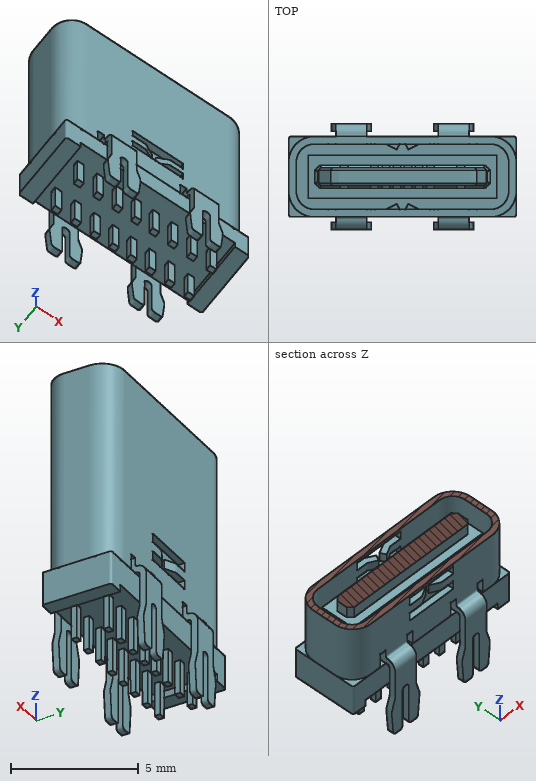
import cadquery as cq
import math


shell_length = 8.94
shell_width = 3.16
shell_top = 12.5
sheet = 0.3
shell_corner_radius = 1.0
outer_face = shell_width / 2
inner_face = outer_face - sheet

base_top = 3.51
base_bottom = 2.0
base_corner_radius = 0.1
recess_length = 7.52
recess_depth = 0.31
recess_top = base_bottom + recess_depth

leg_x = 2.006
leg_width = 1.21
leg_outer_face = 2.081
leg_bend_radius = 0.12
leg_root_fillet = 0.1
leg_bulge_width = 1.58
leg_bulge_start = 1.91
leg_bulge_top = 1.31
leg_bulge_bottom = 1.1
leg_tip_width = 1.4
leg_tip_fillet = 0.15
prong_gap = 0.35
prong_gap_top = 2.21
relief_width = 0.31
relief_top = 4.21

window_length = 2.48
window_height = 0.4
finger_z = 5.5
finger_height = 0.42
finger_bend_x = 0.66
finger_bend_radius = 0.06
finger_angle = math.radians(27)
finger_tip_x = 0.22

block_length = 7.4
block_width = 1.69
block_top = finger_z + finger_height / 2
root_length = 6.88
root_width = 0.91
root_corner_chamfer = 0.2
root_top = 7.5
root_slope = 0.106
tongue_length = 6.58
tongue_width = root_width - 2 * root_slope
tongue_top = 11.1
tongue_edge_chamfer = 0.09
tongue_corner_chamfer = 0.08

left_steep_end_x = 2.82
left_tip_x = 2.49
right_steep_end_x = 2.91
right_tip_x = 2.66
shallow_slope = 0.25
steep_slope = 1.7

pad_width = 0.3
pad_positions = (0.21, 0.65, 1.1, 2.29)
pin_positions = (0.44, 1.35, 2.29, 3.24)
pin_row_y = 0.74
pin_width = 0.31
pin_thickness = 0.25
pin_bottom = 0.79


def box(length, width, bottom, top, x=0.0, y=0.0):
    """Upright box centred on (x, y)."""
    plane = cq.Workplane("XY", origin=(x, y, bottom))
    return plane.box(length, width, top - bottom, centered=(True, True, False))


def on_all_sides(shape):
    """A shape with its mirror images in X and Y."""
    pair = shape.union(shape.mirror("YZ"))
    return pair.union(pair.mirror("XZ"))


def make_tube():
    outer = box(shell_length, shell_width, base_top, shell_top).edges("|Z").fillet(shell_corner_radius)
    bore = box(shell_length - 2 * sheet, shell_width - 2 * sheet, base_top, shell_top)
    return outer.cut(bore.edges("|Z").fillet(shell_corner_radius - sheet))


def make_openings():
    """Windows above and below the fingers, the gap around the fingers, and the leg reliefs."""
    across = shell_width
    low = finger_z - finger_height / 2
    high = finger_z + finger_height / 2
    openings = box(window_length, across, low - window_height, low)
    openings = openings.union(box(window_length, across, high, high + window_height))
    openings = openings.union(box(2 * finger_bend_x, across, low, high))
    relief_offset = (leg_width + relief_width) / 2
    for x in (leg_x - relief_offset, leg_x + relief_offset):
        relief = box(relief_width, across, base_top, relief_top, x)
        openings = openings.union(relief).union(relief.mirror("YZ"))
    return openings


def make_finger():
    """Strip of the wall at -X, -Y, bent inward about a vertical axis."""
    centre_x = -finger_bend_x
    centre_y = -inner_face + finger_bend_radius
    outer_radius = finger_bend_radius + sheet
    straight = (
        finger_bend_x - finger_tip_x - finger_bend_radius * math.sin(finger_angle)
    ) / math.cos(finger_angle)

    def around_bend(radius, angle, along=0.0):
        x = centre_x + radius * math.sin(angle) + along * math.cos(angle)
        y = centre_y - radius * math.cos(angle) + along * math.sin(angle)
        return x, y

    half = finger_angle / 2
    return (
        cq.Workplane("XY", origin=(0, 0, finger_z - finger_height / 2))
        .moveTo(*around_bend(outer_radius, 0))
        .threePointArc(around_bend(outer_radius, half), around_bend(outer_radius, finger_angle))
        .lineTo(*around_bend(outer_radius, finger_angle, straight))
        .lineTo(*around_bend(finger_bend_radius, finger_angle, straight))
        .lineTo(*around_bend(finger_bend_radius, finger_angle))
        .threePointArc(around_bend(finger_bend_radius, half), around_bend(finger_bend_radius, 0))
        .close()
        .extrude(finger_height)
    )


def make_leg():
    """Leg at +X, -Y: bent strip limited by the forked outline."""
    inside = -(leg_outer_face - sheet)
    bend_radius_outer = leg_bend_radius + sheet
    bend_z = base_top - leg_bend_radius
    bend_y = inside + leg_bend_radius
    diagonal = math.sqrt(0.5)

    root_y = -outer_face - leg_root_fillet
    reach = bend_radius_outer + leg_root_fillet
    rise = math.sqrt(reach**2 - (root_y - bend_y) ** 2)
    root_z = bend_z + rise
    touch_y = bend_y + (root_y - bend_y) * bend_radius_outer / reach
    touch_z = bend_z + rise * bend_radius_outer / reach

    strip = (
        cq.Workplane("YZ", origin=(-leg_bulge_width / 2, 0, 0))
        .moveTo(-leg_outer_face, 0)
        .lineTo(-leg_outer_face, bend_z)
        .threePointArc(
            (bend_y - bend_radius_outer * diagonal, bend_z + bend_radius_outer * diagonal),
            (touch_y, touch_z),
        )
        .threePointArc(
            (root_y + leg_root_fillet * diagonal, root_z - leg_root_fillet * diagonal),
            (-outer_face, root_z),
        )
        .lineTo(-inner_face, root_z)
        .lineTo(-inner_face, base_top)
        .lineTo(bend_y, base_top)
        .threePointArc(
            (bend_y - leg_bend_radius * diagonal, bend_z + leg_bend_radius * diagonal),
            (inside, bend_z),
        )
        .lineTo(inside, 0)
        .close()
        .extrude(leg_bulge_width)
    )
    half_outline = [
        (leg_width / 2, relief_top),
        (leg_width / 2, leg_bulge_start),
        (leg_bulge_width / 2, leg_bulge_top),
        (leg_bulge_width / 2, leg_bulge_bottom),
        (leg_tip_width / 2, 0),
    ]
    other_half = [(-x, z) for x, z in reversed(half_outline)]
    outline = cq.Workplane("XZ").polyline(half_outline + other_half).close().extrude(leg_outer_face)
    gap = (
        cq.Workplane("XZ")
        .center(0, (prong_gap_top - prong_gap) / 2)
        .slot2D(prong_gap_top + prong_gap, prong_gap, 90)
        .extrude(leg_outer_face)
    )
    fork = outline.cut(gap).faces("<Z").edges("|Y").fillet(leg_tip_fillet)
    return strip.intersect(fork).translate((leg_x, 0, 0))


def make_shell():
    opened_tube = make_tube().cut(make_openings())
    return opened_tube.union(on_all_sides(make_finger())).union(on_all_sides(make_leg()))


def make_base():
    base = box(shell_length, shell_width, base_bottom, base_top).edges("|Z").fillet(base_corner_radius)
    recess = box(recess_length, shell_width, base_bottom, recess_top)
    return base.cut(recess).union(box(block_length, block_width, base_top, block_top))


def make_tongue():
    """Tongue with sloped ends and a chamfered tip edge, standing on a thicker root."""
    half_length = tongue_length / 2
    left_steep_top = tongue_top - shallow_slope * (left_steep_end_x - left_tip_x)
    left_side_top = left_steep_top - steep_slope * (half_length - left_steep_end_x)
    right_steep_top = tongue_top - shallow_slope * (right_steep_end_x - right_tip_x)
    right_side_top = right_steep_top - steep_slope * (half_length - right_steep_end_x)
    blade = (
        cq.Workplane("XZ", origin=(0, tongue_width / 2, 0))
        .moveTo(-half_length, block_top)
        .lineTo(half_length, block_top)
        .lineTo(half_length, right_side_top)
        .lineTo(right_steep_end_x, right_steep_top)
        .lineTo(right_tip_x, tongue_top)
        .lineTo(-left_tip_x, tongue_top)
        .lineTo(-left_steep_end_x, left_steep_top)
        .lineTo(-half_length, left_side_top)
        .close()
        .extrude(tongue_width)
    )
    tip_edges = blade.faces("<Y or >Y").edges("not (|Z or <Z)")
    blade = tip_edges.chamfer(tongue_edge_chamfer)
    blade = blade.edges("|Z").chamfer(tongue_corner_chamfer)
    root = box(root_length, root_width, block_top, root_top)
    root = root.edges("|Z").chamfer(root_corner_chamfer).faces(">Z").edges().chamfer(root_slope)
    return blade.union(root)


def make_pad(x):
    """Contact pad flush with both wide faces of the tongue root, with a flat top."""
    return box(pad_width, root_width, block_top, root_top, x)


def make_pin(x):
    return box(pin_width, pin_thickness, pin_bottom, recess_top, x, pin_row_y)


def make_insulator():
    insulator = make_base().union(make_tongue())
    for x in pad_positions:
        insulator = insulator.union(make_pad(x)).union(make_pad(-x))
    for x in pin_positions:
        insulator = insulator.union(on_all_sides(make_pin(x)))
    return insulator


shell = make_shell()
insulator = make_insulator()

result = cq.Compound.makeCompound([shell.solids().val(), insulator.solids().val()])